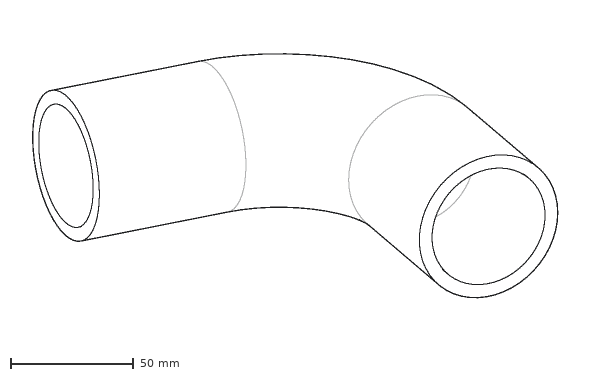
import cadquery as cq

overall_length = 161.0
outer_diameter = 63.0
wall_thickness = 5.8

outer_radius = outer_diameter / 2
inner_radius = outer_radius - wall_thickness
bend_radius = outer_diameter
leg_length = overall_length - bend_radius - outer_radius


def pipe_ring(plane):
    """Annular pipe section sketched on the given plane."""
    return cq.Workplane(plane).circle(outer_radius).circle(inner_radius)


front_leg = pipe_ring("XZ").extrude(-leg_length)

bend_plane = cq.Plane(origin=(0, leg_length, 0), xDir=(1, 0, 0), normal=(0, -1, 0))
elbow = pipe_ring(bend_plane).revolve(90, (bend_radius, 0), (bend_radius, -1))

side_leg_start = (bend_radius, leg_length + bend_radius, 0)
side_leg_plane = cq.Plane(origin=side_leg_start, xDir=(0, 1, 0), normal=(1, 0, 0))
side_leg = pipe_ring(side_leg_plane).extrude(leg_length)

result = front_leg.union(elbow).union(side_leg)